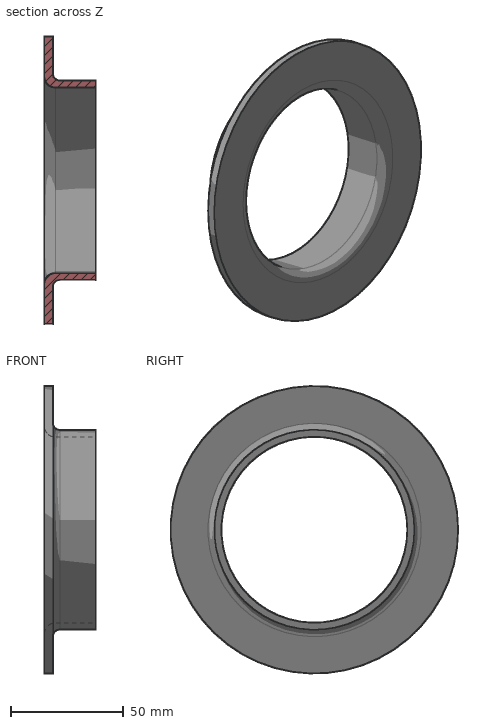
import cadquery as cq

flange_diameter = 128.0
flange_thickness = 4.0
collar_diameter = 89.0
bore_diameter = 82.5
total_length = 23.0
bore_mouth_radius = 5.0
neck_radius = 3.0

flange_rim = flange_diameter / 2
collar_wall = collar_diameter / 2
bore_wall = bore_diameter / 2
neck_end = flange_thickness + neck_radius

section = (
    cq.Workplane("XY")
    .moveTo(0, bore_wall + bore_mouth_radius)
    .lineTo(0, flange_rim)
    .lineTo(flange_thickness, flange_rim)
    .lineTo(flange_thickness, collar_wall + neck_radius)
    .radiusArc((neck_end, collar_wall), -neck_radius)
    .lineTo(total_length, collar_wall)
    .lineTo(total_length, bore_wall)
    .lineTo(bore_mouth_radius, bore_wall)
    .radiusArc((0, bore_wall + bore_mouth_radius), bore_mouth_radius)
    .close()
)

result = section.revolve(360, (0, 0, 0), (1, 0, 0))